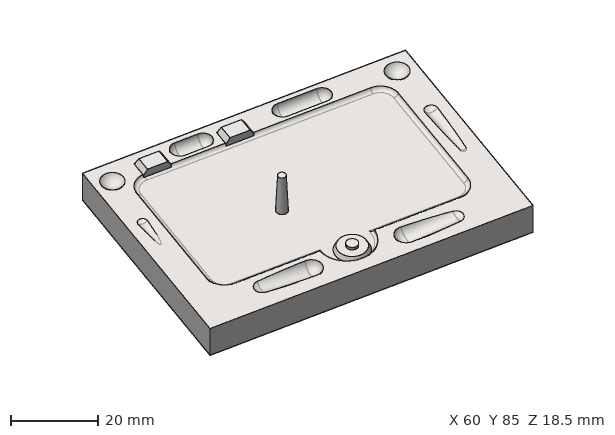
import cadquery as cq
LENGTH_X = 60.0
LENGTH_Y = 85.0
HEIGHT = 18.47
HALF_X = LENGTH_X / 2
HALF_Y = LENGTH_Y / 2

FLOOR_Z = 8.42
BOWL_SCALE = 3.175
X_GROWTH = 1.69
X_POWER = 5.0
Y_FACTOR_AT_MIDDLE = 0.61
Y_GROWTH = 1.36
Y_POWER = 3.5
GRID_STEPS = 30
GRID_OVERHANG = 2.0
SURFACE_TOLERANCE = 0.005

RECESS_X_MIN = -21.65
RECESS_X_MAX = 18.2
RECESS_Y_MIN = -33.7
RECESS_Y_MAX = 32.8
RECESS_DEPTH = 0.95
RECESS_CORNER_RADIUS = 3.5
FLOOR_FOOT_FILLET = 1.2
BOWL_FOOT_FILLET = 0.85

BAY_X = 19.2
MIDLINE_Y = -0.5
BAY_RADIUS = 7.15
BAY_FOOT_FILLET = 0.7
DISC_X = 21.8
DISC_BASE_RADIUS = 4.4
DISC_TOP_RADIUS = 3.75
DISC_TOP_Z = 8.75
BUTTON_RADIUS = 1.5
BUTTON_TOP_Z = 9.5

PIN_X = 2.35
PIN_Y = -8.1
PIN_BASE_RADIUS = 1.5
PIN_TOP_RADIUS = 1.0

TAB_X_MIN = -26.9
TAB_X_MAX = -22.45
TAB_SPANS_Y = [(-8.9, -1.6), (-30.6, -23.3)]
TAB_TOP_Z = 9.95
TAB_SIDE_DRAFT = 1.0
TAB_FRONT_DRAFT = 0.4

SLOTS = [
    (2.4, (-26.2, 8.0), (-26.2, 18.4)),
    (2.4, (-26.2, -19.0), (-26.2, -12.9)),
    (2.35, (-9.5, 37.8), (5.6, 37.8)),
    (2.25, (-8.8, -38.5), (7.2, -38.5)),
    (2.95, (24.3, 12.3), (24.6, 25.2)),
    (2.85, (23.5, -25.1), (23.5, -12.2)),
]

DIMPLES = [
    (3.35, (-24.8, 37.4)),
    (3.35, (-24.3, -37.8)),
    (3.5, (24.7, 37.2)),
    (3.7, (24.9, -37.6)),
]

RECESS_FLOOR_Z = FLOOR_Z - RECESS_DEPTH
ABOVE = 2 * HEIGHT
JOIN_TOLERANCE = 0.001


def bowl_height(x, y):
    x_share = max(0.0, (x + HALF_X) / LENGTH_X)
    y_share = abs(y) / HALF_Y
    x_factor = 1 + X_GROWTH * x_share**X_POWER
    y_factor = Y_FACTOR_AT_MIDDLE + Y_GROWTH * y_share**Y_POWER
    return FLOOR_Z + BOWL_SCALE * (x_factor * y_factor - 1)


def top_height(x, y):
    return max(FLOOR_Z, bowl_height(x, y))


def block(top_z):
    return cq.Workplane("XY").box(LENGTH_X, LENGTH_Y, top_z, centered=(True, True, False))


def cone(x, y, bottom_z, top_z, bottom_radius, top_radius):
    solid = cq.Solid.makeCone(bottom_radius, top_radius, top_z - bottom_z, cq.Vector(x, y, bottom_z))
    return cq.Workplane(solid)


def space_above_bowl():
    step_x = 2 * (HALF_X + GRID_OVERHANG) / GRID_STEPS
    step_y = 2 * (HALF_Y + GRID_OVERHANG) / GRID_STEPS
    grid = []
    for i in range(GRID_STEPS + 1):
        x = -HALF_X - GRID_OVERHANG + i * step_x
        row = []
        for j in range(GRID_STEPS + 1):
            y = -HALF_Y - GRID_OVERHANG + j * step_y
            row.append(cq.Vector(x, y, bowl_height(x, y)))
        grid.append(row)
    surface = cq.Face.makeSplineApprox(grid, tol=SURFACE_TOLERANCE)
    return cq.Workplane(cq.Solid.extrudeLinear(surface, cq.Vector(0, 0, ABOVE)))


def space_above(z):
    overhang = 2 * GRID_OVERHANG
    centered = (True, True, False)
    return cq.Workplane("XY").box(LENGTH_X + overhang, LENGTH_Y + overhang, ABOVE, centered).translate((0, 0, z))


def recess_prism(growth):
    """Upright prism over the recess bottom, grown outward on every side."""
    size_x = RECESS_X_MAX - RECESS_X_MIN + 2 * growth
    size_y = RECESS_Y_MAX - RECESS_Y_MIN + 2 * growth
    centre_x = (RECESS_X_MIN + RECESS_X_MAX) / 2
    centre_y = (RECESS_Y_MIN + RECESS_Y_MAX) / 2
    prism = cq.Workplane("XY", origin=(centre_x, centre_y, 0)).rect(size_x, size_y).extrude(ABOVE)
    return prism.edges("|Z").fillet(RECESS_CORNER_RADIUS + growth)


def bay_prism():
    return cq.Workplane("XY", origin=(BAY_X, MIDLINE_Y, 0)).circle(BAY_RADIUS).extrude(ABOVE)


def sunk_space(prism, space, foot_fillet):
    """The part of the prism above a recess bottom, with its bottom edge rounded."""
    tool = prism.intersect(space)
    foot = tool.faces("<Z").edges()
    return tool.newObject(foot.vals()).fillet(foot_fillet)


def sink_recess(body, space, foot_fillet):
    """Cut the recess and its bay down to the bottom of the given space, keeping the main piece."""
    body = body.cut(sunk_space(recess_prism(foot_fillet), space, foot_fillet))
    body = body.cut(sunk_space(bay_prism(), space, BAY_FOOT_FILLET))
    return cq.Workplane(max(body.solids().vals(), key=lambda piece: piece.Volume()))


def floor_body():
    """Block up to the flat floor, with the recess and bay sunk into it."""
    return sink_recess(block(FLOOR_Z), space_above(RECESS_FLOOR_Z), FLOOR_FOOT_FILLET)


def bowl_body():
    """Block under the bowl, with the recess and bay following the bowl at constant depth."""
    above_bowl = space_above_bowl()
    above_recess = above_bowl.translate((0, 0, -RECESS_DEPTH))
    return sink_recess(block(HEIGHT).cut(above_bowl), above_recess, BOWL_FOOT_FILLET)


def pin():
    return cone(PIN_X, PIN_Y, RECESS_FLOOR_Z, HEIGHT, PIN_BASE_RADIUS, PIN_TOP_RADIUS)


def stepped_button():
    disc = cone(DISC_X, MIDLINE_Y, RECESS_FLOOR_Z, DISC_TOP_Z, DISC_BASE_RADIUS, DISC_TOP_RADIUS)
    disc_top = cq.Workplane("XY", origin=(DISC_X, MIDLINE_Y, DISC_TOP_Z))
    knob = disc_top.circle(BUTTON_RADIUS).extrude(BUTTON_TOP_Z - DISC_TOP_Z)
    return disc.union(knob)


def tab(y_min, y_max):
    """Raised tab with three leaning sides; the side toward the recess is upright."""
    middle_y = (y_min + y_max) / 2
    foot_size = (TAB_X_MAX - TAB_X_MIN, y_max - y_min)
    top_size = (foot_size[0] - TAB_FRONT_DRAFT, foot_size[1] - 2 * TAB_SIDE_DRAFT)
    foot_x = TAB_X_MAX - foot_size[0] / 2
    top_x = TAB_X_MAX - top_size[0] / 2
    upper = (
        cq.Workplane("XY", origin=(foot_x, middle_y, FLOOR_Z))
        .rect(*foot_size)
        .workplane(offset=TAB_TOP_Z - FLOOR_Z)
        .center(top_x - foot_x, 0)
        .rect(*top_size)
        .loft(ruled=True)
    )
    root = cq.Workplane("XY", origin=(foot_x, middle_y, 0)).rect(*foot_size).extrude(FLOOR_Z)
    return root.union(upper)


def ball(radius, centre):
    return cq.Workplane(cq.Solid.makeSphere(radius, centre, angleDegrees1=-90))


def on_top(x, y):
    return cq.Vector(x, y, top_height(x, y))


def slot_space(radius, start_xy, end_xy):
    """Capsule whose axis lies along the dished top."""
    start = on_top(*start_xy)
    end = on_top(*end_xy)
    axis = end - start
    barrel = cq.Workplane(cq.Solid.makeCylinder(radius, axis.Length, start, axis))
    return barrel.union(ball(radius, start)).union(ball(radius, end))


def dimple_space(radius, centre_xy):
    return ball(radius, on_top(*centre_xy))


result = floor_body().union(bowl_body(), tol=JOIN_TOLERANCE)
result = result.union(pin()).union(stepped_button())
for span in TAB_SPANS_Y:
    result = result.union(tab(*span))
for slot in SLOTS:
    result = result.cut(slot_space(*slot))
for dimple in DIMPLES:
    result = result.cut(dimple_space(*dimple))